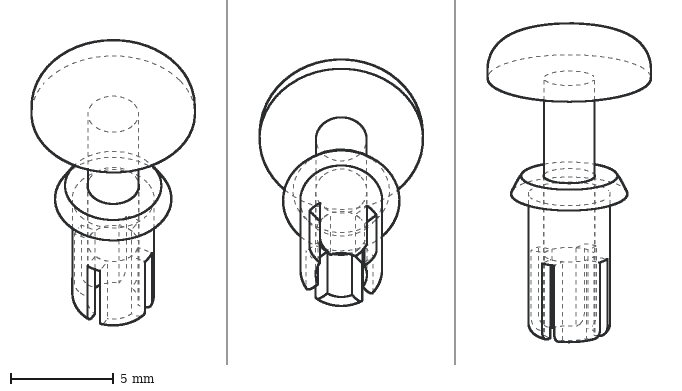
import cadquery as cq

total_height = 15.0

head_diameter = 8.0
head_height = 2.0
head_rounding = 1.5
shank_diameter = 2.48

bore_diameter = 2.5
barrel_diameter = 4.0
barrel_length = 7.11
barrel_rounding = 0.54
collar_height = 0.92
collar_top_diameter = 4.71
collar_bottom_diameter = 5.7
collar_bulge = 0.03
slot_width = 0.69
slot_height = 4.0

head_bottom = total_height - head_height
sleeve_height = barrel_length + collar_height
shank_bottom = slot_height


def make_plunger():
    """Domed head with the shank hanging below it."""
    head = (
        cq.Workplane("XY", origin=(0, 0, head_bottom))
        .circle(head_diameter / 2)
        .extrude(head_height)
        .faces(">Z")
        .edges()
        .fillet(head_rounding)
    )
    shank = (
        cq.Workplane("XY", origin=(0, 0, shank_bottom))
        .circle(shank_diameter / 2)
        .extrude(head_bottom - shank_bottom)
    )
    return head.union(shank)


def make_collar():
    """Flared collar with a slightly convex flank."""
    top_radius = collar_top_diameter / 2
    bottom_radius = collar_bottom_diameter / 2
    flank_middle = (
        (top_radius + bottom_radius) / 2 + collar_bulge,
        barrel_length + collar_height / 2,
    )
    return (
        cq.Workplane("XZ")
        .moveTo(0, barrel_length)
        .lineTo(bottom_radius, barrel_length)
        .threePointArc(flank_middle, (top_radius, sleeve_height))
        .lineTo(0, sleeve_height)
        .close()
        .revolve(360, (0, 0, 0), (0, 1, 0))
    )


def make_sleeve():
    """Bored barrel and collar, split into four legs by crossed slots."""
    barrel = (
        cq.Workplane("XY")
        .circle(barrel_diameter / 2)
        .extrude(barrel_length)
        .faces("<Z")
        .edges()
        .fillet(barrel_rounding)
    )
    bore = cq.Workplane("XY").circle(bore_diameter / 2).extrude(sleeve_height)
    sleeve = barrel.union(make_collar()).cut(bore)

    slot = cq.Workplane("XY").rect(barrel_diameter, slot_width).extrude(slot_height)
    for angle in (0, 90):
        sleeve = sleeve.cut(slot.rotate((0, 0, 0), (0, 0, 1), angle))
    return sleeve


plunger = make_plunger()
sleeve = make_sleeve()

result = cq.Compound.makeCompound([plunger.val(), sleeve.val()])